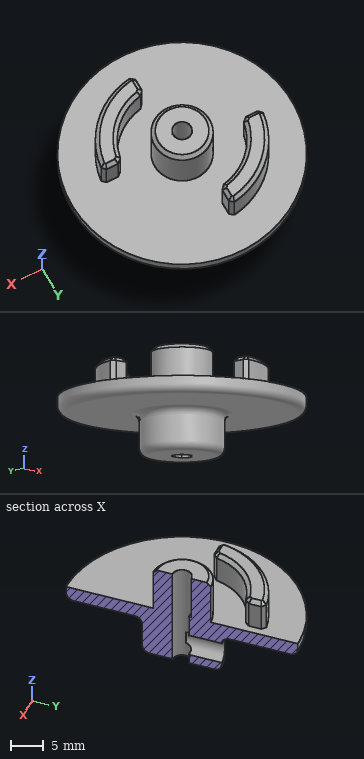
import cadquery as cq

disc_diameter = 38.1
disc_thickness = 2.5
disc_edge_radius = disc_thickness / 2

hub_diameter = 9.5
hub_height = 7.62
chamfer_size = 0.65

boss_diameter = 13.1
boss_height = 6.63
boss_fillet = 1.25

bore_diameter = 3.05
bore_flat_offset = 1.15

screw_hole_diameter = 3.7
screw_hole_depth_below_disc = 3.05

rib_outer_radius = 13.25
rib_inner_radius = 9.9
rib_height = 5.03
rib_end_offset = 1.22

disc_bottom = -disc_thickness
boss_bottom = disc_bottom - boss_height


def cylinder(diameter, bottom, height):
    return cq.Workplane("XY", origin=(0, 0, bottom)).circle(diameter / 2).extrude(height)


def make_disc():
    disc = cylinder(disc_diameter, disc_bottom, disc_thickness)
    return disc.faces("<Z").edges().fillet(disc_edge_radius)


def make_hub():
    return cylinder(hub_diameter, 0, hub_height).faces(">Z").edges().chamfer(chamfer_size)


def make_boss():
    boss = cylinder(boss_diameter, boss_bottom, boss_height)
    return boss.faces("<Z").edges().fillet(boss_fillet)


def make_boss_root_fillet():
    """Ring with a concave quarter-round between the boss and the disc."""
    radius = boss_diameter / 2
    fillet_center = (radius + boss_fillet, disc_bottom - boss_fillet)
    arc_reach = boss_fillet * 0.5 ** 0.5
    arc_middle = (fillet_center[0] - arc_reach, fillet_center[1] + arc_reach)
    return (
        cq.Workplane("XZ")
        .moveTo(0, disc_bottom)
        .lineTo(fillet_center[0], disc_bottom)
        .threePointArc(arc_middle, (radius, fillet_center[1]))
        .lineTo(0, fillet_center[1])
        .close()
        .revolve(360, (0, 0), (0, 1))
    )


def make_rib():
    """Arc-shaped rib in the -X, +Y quadrant, chamfered on its corners and top."""
    ring = cq.Workplane("XY").circle(rib_outer_radius).circle(rib_inner_radius).extrude(rib_height)
    quadrant = (
        cq.Workplane("XY")
        .center(-rib_end_offset, rib_end_offset)
        .rect(-rib_outer_radius, rib_outer_radius, centered=False)
        .extrude(rib_height)
    )
    rib = ring.intersect(quadrant)
    return rib.edges("|Z").chamfer(chamfer_size).faces(">Z").edges().chamfer(chamfer_size)


def make_bore():
    round_bore = cylinder(bore_diameter, boss_bottom, hub_height - boss_bottom)
    flat_filler = (
        cq.Workplane("XY", origin=(0, bore_flat_offset, boss_bottom))
        .rect(bore_diameter, bore_diameter)
        .extrude(-boss_bottom)
        .translate((0, bore_diameter / 2, 0))
    )
    return round_bore.cut(flat_filler)


def make_screw_hole():
    screw_hole_z = disc_bottom - screw_hole_depth_below_disc
    return (
        cq.Workplane("XZ", origin=(0, 0, screw_hole_z))
        .circle(screw_hole_diameter / 2)
        .extrude(-boss_diameter)
    )


result = make_disc().union(make_hub()).union(make_boss()).union(make_boss_root_fillet())
for rib_angle in (0, 180):
    result = result.union(make_rib().rotate((0, 0, 0), (0, 0, 1), rib_angle))
result = result.cut(make_bore()).cut(make_screw_hole())